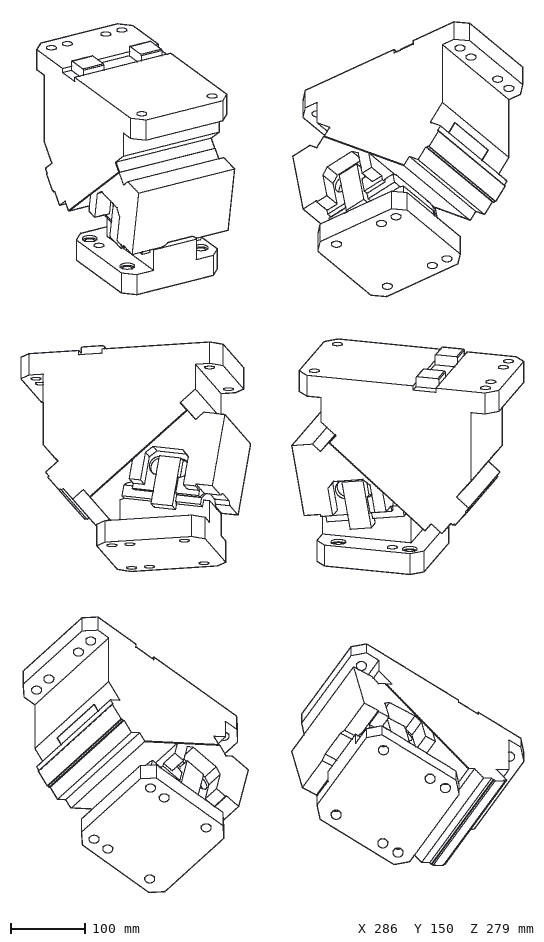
import cadquery as cq
import math


OVERALL_LENGTH = 286
WIDTH = 150.0
HALF_WIDTH = WIDTH / 2
PLATE_THICKNESS = 30.0
CORNER_CHAMFER = 15.2
BOLT_DIAMETER = 13.5

HOLDER_LENGTH = 280.0
HOLDER_TOP = 270.5
BODY_LEFT = 34.5
BODY_RIGHT = 245.0
HOLDER_ANGLE = 40
SLIDE_FACE_START = (99.5, 64.4)
SLIDE_FACE_LENGTH = 175.5
END_STEP = 15.0
EDGE_CHAMFER = 1.0

NOSE_BOTTOM = 14.5
NOSE_TOP = 69.5
NOSE_REACH = 22.3
LEDGE_REACH = 19.2
LEDGE_TOP = 35.0
RIB_REACH = 24.5
RIB_BOTTOM = 37.2
RIB_TOP = 62.0

POCKET_HALF_WIDTH = 37.5
POCKET_TOP = 90.7
POCKET_DEPTH = 1.0

HOLDER_HOLES_LEFT_X = 20.0
HOLDER_HOLES_RIGHT_X = 260.0
OUTER_HOLE_Y = 55.0
INNER_HOLE_Y = 30.0

KEY_LEFT = 83.8
KEY_SIZE = 32.0
KEY_CENTRE_Y = 45.2
KEY_TOP = 279.0
KEY_CHAMFER = 1.5
KEYWAY_DEPTH = 6.0

BASE_LEFT = 105.0
BASE_LENGTH = 150.2
COLUMN_LEFT = 130.7
COLUMN_HALF_WIDTH = 33.5
COLUMN_LEFT_TOP = 69.8
BASE_HOLE_Y = 57.2
COUNTERBORED_X = (125.5, 225.7)
PLAIN_HOLE_X = 150.2
COUNTERBORE_DIAMETER = 19.7
COUNTERBORE_DEPTH = 3.5

GUIDE_ANGLE = -10
GUIDE_START = (136.7, 71.8)
GUIDE_LENGTH = 110.0
GUIDE_HALF_WIDTH = 45.8
GUIDE_LEFT_HEIGHT = 15.2
GUIDE_RIGHT_HEIGHT = 9.5
ROOF_ANGLE = 30
ROOF_RISE = 15.7
GUIDE_END_HEIGHT = 19.5

SLIDE_LEFT = 14.0
SLIDE_TOP = 120.5
SLIDE_BOTTOM = 17.5
SLIDE_RAISED_BOTTOM = 20.3
NOTCH_DEPTH = 18.0
SLIDE_RIGHT = (
    OVERALL_LENGTH - GUIDE_START[0] + SLIDE_TOP * math.sin(math.radians(GUIDE_ANGLE))
) / math.cos(math.radians(GUIDE_ANGLE))

LEG_HALF_WIDTH = 52.0
LEG_BOTTOM = 10.3
LEG_RIGHT = 107.2

RECESS_CENTRE = 60.0
RECESS_LENGTH = 60.0
RECESS_TOP = 65.5
RECESS_CHAMFER = 9.2

HOOK_LENGTH = 30.0
HOOK_BOTTOM = -9.2
HOOK_TOP = 58.0
HOOK_INNER_Y = 38.5
HOOK_OUTER_Y = 57.5
SEAT_LENGTH = 55.8
SEAT_DIAMETER = 25.2
SEAT_DEPTH = 8.5


def tilted_plane(start, angle, y=0):
    """Plane facing -Y whose local x runs at the given angle above +X."""
    a = math.radians(angle)
    return cq.Plane(origin=(start[0], y, start[1]), xDir=(math.cos(a), 0, math.sin(a)), normal=(0, -1, 0))


def tilted_point(start, angle, along, up):
    """X, Z of a point given along and square to a tilted line."""
    a = math.radians(angle)
    return (
        start[0] + along * math.cos(a) - up * math.sin(a),
        start[1] + along * math.sin(a) + up * math.cos(a),
    )


def guide_point(along, up):
    return tilted_point(GUIDE_START, GUIDE_ANGLE, along, up)


def holder_point(along, up):
    return tilted_point(SLIDE_FACE_START, HOLDER_ANGLE, along, up)


def guide_coordinates(point):
    """Position along and height above the guide's lower edge of an X, Z point."""
    a = math.radians(GUIDE_ANGLE)
    dx = point[0] - GUIDE_START[0]
    dz = point[1] - GUIDE_START[1]
    return dx * math.cos(a) + dz * math.sin(a), dz * math.cos(a) - dx * math.sin(a)


def prism(points, half_width, plane=cq.Plane.XZ()):
    """Outline extruded equally to both sides of the middle plane."""
    return cq.Workplane(plane).polyline(points).close().extrude(half_width, both=True)


def guide_prism(points, half_width):
    return prism(points, half_width, tilted_plane(GUIDE_START, GUIDE_ANGLE))


def guide_slab(points, inner_y, outer_y):
    """Outline in the guide's frame, extruded from inner_y to outer_y on both sides."""
    plane = tilted_plane(GUIDE_START, GUIDE_ANGLE, -inner_y)
    slab = cq.Workplane(plane).polyline(points).close().extrude(outer_y - inner_y)
    return slab.union(slab.mirror("XZ"))


def rectangle(left, right, bottom, top):
    return [(left, bottom), (right, bottom), (right, top), (left, top)]


def mounting_plate(left, length, bottom):
    plate = cq.Workplane("XY").box(length, WIDTH, PLATE_THICKNESS, centered=(False, True, False))
    return plate.edges("|Z").chamfer(CORNER_CHAMFER).translate((left, 0, bottom))


def vertical_holes(places, diameter, top, depth):
    return cq.Workplane("XY", origin=(0, 0, top)).pushPoints(places).circle(diameter / 2).extrude(-depth)


def holder_body():
    angle = math.radians(HOLDER_ANGLE)
    lower_end_height = (SLIDE_FACE_START[0] - BODY_LEFT) / math.sin(angle)
    step_x = holder_point(SLIDE_FACE_LENGTH, END_STEP)[0]
    step_end = SLIDE_FACE_LENGTH + (BODY_RIGHT - step_x) / math.cos(angle)
    plate_bottom = HOLDER_TOP - PLATE_THICKNESS
    body = prism(
        [
            (BODY_LEFT, plate_bottom),
            holder_point(0, lower_end_height),
            holder_point(0, 0),
            holder_point(SLIDE_FACE_LENGTH, 0),
            holder_point(SLIDE_FACE_LENGTH, END_STEP),
            holder_point(step_end, END_STEP),
            (BODY_RIGHT, plate_bottom),
        ],
        HALF_WIDTH,
    )
    face_x, face_z = holder_point(SLIDE_FACE_LENGTH / 2, 0)
    end_x, end_z = holder_point(SLIDE_FACE_LENGTH, END_STEP / 2)
    chamfered = []
    for x, z in ((face_x, face_z), (end_x, end_z)):
        for y in (-HALF_WIDTH, HALF_WIDTH):
            chamfered += body.edges(cq.selectors.NearestToPointSelector((x, y, z))).vals()
    return body.newObject(chamfered).chamfer(EDGE_CHAMFER)


def holder_nose():
    outline = [
        (0, NOSE_BOTTOM),
        (-LEDGE_REACH, NOSE_BOTTOM),
        (-LEDGE_REACH, LEDGE_TOP),
        (-NOSE_REACH, LEDGE_TOP),
        (-NOSE_REACH, RIB_BOTTOM),
        (-RIB_REACH, RIB_BOTTOM),
        (-RIB_REACH, RIB_TOP),
        (-NOSE_REACH, RIB_TOP),
        (-NOSE_REACH, NOSE_TOP),
        (0, NOSE_TOP),
    ]
    return prism(outline, HALF_WIDTH, tilted_plane(SLIDE_FACE_START, HOLDER_ANGLE))


def holder_pocket():
    """Shallow pocket in the lower end face, just above the nose."""
    outline = rectangle(0, POCKET_DEPTH, NOSE_TOP, POCKET_TOP)
    return prism(outline, POCKET_HALF_WIDTH, tilted_plane(SLIDE_FACE_START, HOLDER_ANGLE))


def locating_keys():
    bottom = HOLDER_TOP - KEYWAY_DEPTH
    key = cq.Workplane("XY").box(KEY_SIZE, KEY_SIZE, KEY_TOP - bottom, centered=(False, True, False))
    key = key.faces(">Z").edges("|Y").chamfer(KEY_CHAMFER)
    keys = [key.translate((KEY_LEFT, side * KEY_CENTRE_Y, bottom)) for side in (-1, 1)]
    return keys[0].union(keys[1])


def make_holder():
    holder = mounting_plate(0, HOLDER_LENGTH, HOLDER_TOP - PLATE_THICKNESS)
    holder = holder.union(holder_body()).union(holder_nose()).cut(holder_pocket())

    keyway = rectangle(KEY_LEFT, KEY_LEFT + KEY_SIZE, HOLDER_TOP - KEYWAY_DEPTH, HOLDER_TOP)
    holder = holder.cut(prism(keyway, HALF_WIDTH)).union(locating_keys())

    places = []
    for side in (-1, 1):
        places += [
            (HOLDER_HOLES_LEFT_X, side * OUTER_HOLE_Y),
            (HOLDER_HOLES_LEFT_X, side * INNER_HOLE_Y),
            (HOLDER_HOLES_RIGHT_X, side * OUTER_HOLE_Y),
        ]
    return holder.cut(vertical_holes(places, BOLT_DIAMETER, HOLDER_TOP, PLATE_THICKNESS))


def guide_section(left, right, side_height):
    """Stretch of the guide: upright sides under a roof with a flat top."""
    start = guide_point(left, 0)
    angle = math.radians(GUIDE_ANGLE)
    plane = cq.Plane(
        origin=(start[0], 0, start[1]),
        xDir=(0, 1, 0),
        normal=(math.cos(angle), 0, math.sin(angle)),
    )
    flat_half_width = GUIDE_HALF_WIDTH - ROOF_RISE / math.tan(math.radians(ROOF_ANGLE))
    outline = [
        (-GUIDE_HALF_WIDTH, 0),
        (GUIDE_HALF_WIDTH, 0),
        (GUIDE_HALF_WIDTH, side_height),
        (flat_half_width, side_height + ROOF_RISE),
        (-flat_half_width, side_height + ROOF_RISE),
        (-GUIDE_HALF_WIDTH, side_height),
    ]
    return cq.Workplane(plane).polyline(outline).close().extrude(right - left)


def guide_shape(left, right):
    """Guide between two positions, with its step in height halfway along the hooks."""
    high = guide_section(left, RECESS_CENTRE, GUIDE_LEFT_HEIGHT)
    low = guide_section(RECESS_CENTRE, right, GUIDE_RIGHT_HEIGHT)
    return high.union(low)


def base_guide():
    roof_top = GUIDE_LEFT_HEIGHT + ROOF_RISE
    end_cut = [(0, GUIDE_END_HEIGHT), (roof_top - GUIDE_END_HEIGHT, roof_top), (0, roof_top)]
    guide = guide_shape(0, GUIDE_LENGTH).cut(guide_prism(end_cut, GUIDE_HALF_WIDTH))
    return guide.cut(return_hooks())


def base_column():
    right = BASE_LEFT + BASE_LENGTH
    slope = math.tan(math.radians(GUIDE_ANGLE))
    low_x, low_z = guide_point(GUIDE_LENGTH, GUIDE_RIGHT_HEIGHT)
    outline = [
        (COLUMN_LEFT, PLATE_THICKNESS),
        (right, PLATE_THICKNESS),
        (right, low_z + (right - low_x) * slope),
        (low_x, low_z),
        guide_point(GUIDE_LENGTH, 0),
        GUIDE_START,
        (COLUMN_LEFT, COLUMN_LEFT_TOP),
    ]
    return prism(outline, COLUMN_HALF_WIDTH)


def make_base():
    base = mounting_plate(BASE_LEFT, BASE_LENGTH, 0).union(base_column()).union(base_guide())
    bored = [(x, side * BASE_HOLE_Y) for x in COUNTERBORED_X for side in (-1, 1)]
    plain = [(PLAIN_HOLE_X, side * BASE_HOLE_Y) for side in (-1, 1)]
    base = base.cut(vertical_holes(bored + plain, BOLT_DIAMETER, PLATE_THICKNESS, PLATE_THICKNESS))
    return base.cut(vertical_holes(bored, COUNTERBORE_DIAMETER, PLATE_THICKNESS, COUNTERBORE_DEPTH))


def slide_block():
    tilt_between = math.radians(HOLDER_ANGLE - GUIDE_ANGLE)
    notch = holder_point(SLIDE_FACE_LENGTH, -NOTCH_DEPTH)
    face_start = guide_coordinates(SLIDE_FACE_START)
    notch_start = guide_coordinates(notch)
    left_top = face_start[1] + (SLIDE_LEFT - face_start[0]) * math.tan(tilt_between)
    notch_run = (SLIDE_TOP - notch_start[1]) / math.sin(tilt_between)
    outline = [
        guide_point(SLIDE_LEFT, SLIDE_BOTTOM),
        guide_point(LEG_RIGHT, SLIDE_BOTTOM),
        guide_point(LEG_RIGHT, SLIDE_RAISED_BOTTOM),
        guide_point(SLIDE_RIGHT, SLIDE_RAISED_BOTTOM),
        guide_point(SLIDE_RIGHT, SLIDE_TOP),
        holder_point(SLIDE_FACE_LENGTH + notch_run, -NOTCH_DEPTH),
        notch,
        holder_point(SLIDE_FACE_LENGTH, 0),
        guide_point(SLIDE_LEFT, left_top),
    ]
    return prism(outline, HALF_WIDTH)


def slide_legs():
    """Deeper middle of the slide, which straddles the guide."""
    return guide_prism(rectangle(SLIDE_LEFT, LEG_RIGHT, LEG_BOTTOM, SLIDE_BOTTOM), LEG_HALF_WIDTH)


def side_recesses():
    left = RECESS_CENTRE - RECESS_LENGTH / 2
    right = RECESS_CENTRE + RECESS_LENGTH / 2
    outline = [
        (left, 0),
        (right, 0),
        (right, RECESS_TOP - RECESS_CHAMFER),
        (right - RECESS_CHAMFER, RECESS_TOP),
        (left + RECESS_CHAMFER, RECESS_TOP),
        (left, RECESS_TOP - RECESS_CHAMFER),
    ]
    return guide_slab(outline, LEG_HALF_WIDTH, HALF_WIDTH)


def hook_seats():
    """Round-ended pockets behind the upper ends of the hooks."""
    plane = tilted_plane(GUIDE_START, GUIDE_ANGLE, -(LEG_HALF_WIDTH - SEAT_DEPTH))
    centre = (RECESS_CENTRE, HOOK_TOP - SEAT_DIAMETER / 2)
    seat = cq.Workplane(plane).center(*centre).slot2D(SEAT_LENGTH, SEAT_DIAMETER).extrude(SEAT_DEPTH)
    return seat.union(seat.mirror("XZ"))


def return_hooks():
    half = HOOK_LENGTH / 2
    outline = rectangle(RECESS_CENTRE - half, RECESS_CENTRE + half, HOOK_BOTTOM, HOOK_TOP)
    return guide_slab(outline, HOOK_INNER_Y, HOOK_OUTER_Y)


def make_slide():
    slide = slide_block().union(slide_legs())
    slide = slide.cut(side_recesses()).cut(hook_seats()).cut(guide_shape(0, SLIDE_RIGHT))
    return slide.union(return_hooks())


holder = make_holder()
slide = make_slide()
base = make_base()

result = cq.Compound.makeCompound([holder.solids().val(), slide.solids().val(), base.solids().val()])